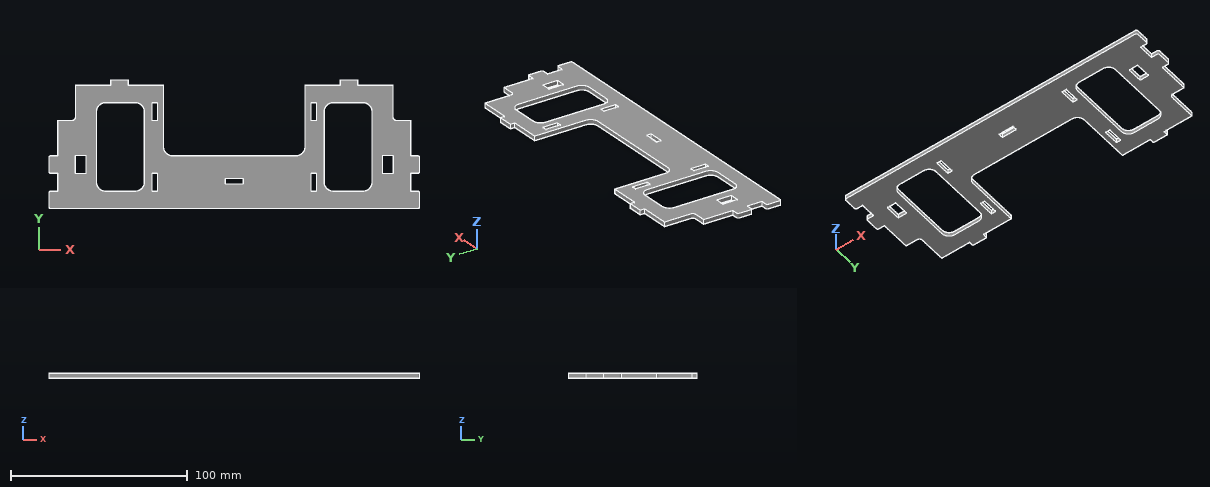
import cadquery as cq

thickness = 3.0

half_width = 105.0
body_half_width = 100.0
tower_outer_x = 90.0
tower_inner_x = 40.0
bridge_height = 30.0
shoulder_height = 50.0
tower_height = 70.0
cutout_radius = 5.0

side_gap_bottom = 10.0
side_gap_top = 20.0
tab_radius = 1.0
shoulder_radius = 2.0

top_tab_center_x = 65.0
top_tab_width = 10.0
top_tab_height = thickness

window_inner_x = 51.0
window_width = 27.0
window_bottom = 10.0
window_height = 50.0
window_radius = 5.0

slot_length = 10.0
slot_width = thickness
tower_slot_x = 45.0
tower_slot_centers_y = (15.0, 55.0)
center_slot_y = 15.5
side_slot_width = 2 * thickness
side_slot_y = 25.0


def through_box(center_x, center_y, size_x, size_y):
    """Block of plate thickness standing on Z = 0."""
    block = cq.Workplane("XY").box(size_x, size_y, thickness, centered=(True, True, False))
    return block.translate((center_x, center_y, 0))


def round_corners(body, corners, radius):
    """Fillet the upright edges at the given (x, y) corners and at their mirror images."""
    reach = 0.1
    for x, y in corners:
        for side in (-1, 1):
            edge_box = cq.selectors.BoxSelector(
                (side * x - reach, y - reach, -reach),
                (side * x + reach, y + reach, thickness + reach),
            )
            body = body.edges("|Z").edges(edge_box).fillet(radius)
    return body


def make_plate():
    right_half = [
        (half_width, 0),
        (half_width, side_gap_bottom),
        (body_half_width, side_gap_bottom),
        (body_half_width, side_gap_top),
        (half_width, side_gap_top),
        (half_width, bridge_height),
        (body_half_width, bridge_height),
        (body_half_width, shoulder_height),
        (tower_outer_x, shoulder_height),
        (tower_outer_x, tower_height),
        (tower_inner_x, tower_height),
        (tower_inner_x, bridge_height),
    ]
    left_half = [(-x, y) for x, y in reversed(right_half)]
    plate = cq.Workplane("XY").polyline(right_half + left_half).close().extrude(thickness)

    tab_corners = [(half_width, y) for y in (0, side_gap_bottom, side_gap_top, bridge_height)]
    plate = round_corners(plate, tab_corners, tab_radius)
    plate = round_corners(plate, [(tower_outer_x, shoulder_height)], shoulder_radius)
    return round_corners(plate, [(tower_inner_x, bridge_height)], cutout_radius)


def add_top_tab(plate, side):
    center_y = tower_height + top_tab_height / 2
    return plate.union(through_box(side * top_tab_center_x, center_y, top_tab_width, top_tab_height))


def cut_window(plate, side):
    center_x = side * (window_inner_x + window_width / 2)
    center_y = window_bottom + window_height / 2
    window = through_box(center_x, center_y, window_width, window_height)
    return plate.cut(window.edges("|Z").fillet(window_radius))


def cut_side_slots(plate, side):
    for center_y in tower_slot_centers_y:
        plate = plate.cut(through_box(side * tower_slot_x, center_y, slot_width, slot_length))
    wide_slot_x = tower_outer_x - side_slot_width / 2
    return plate.cut(through_box(side * wide_slot_x, side_slot_y, side_slot_width, slot_length))


result = make_plate()
for side in (-1, 1):
    result = add_top_tab(result, side)
    result = cut_window(result, side)
    result = cut_side_slots(result, side)
result = result.cut(through_box(0, center_slot_y, slot_length, slot_width))